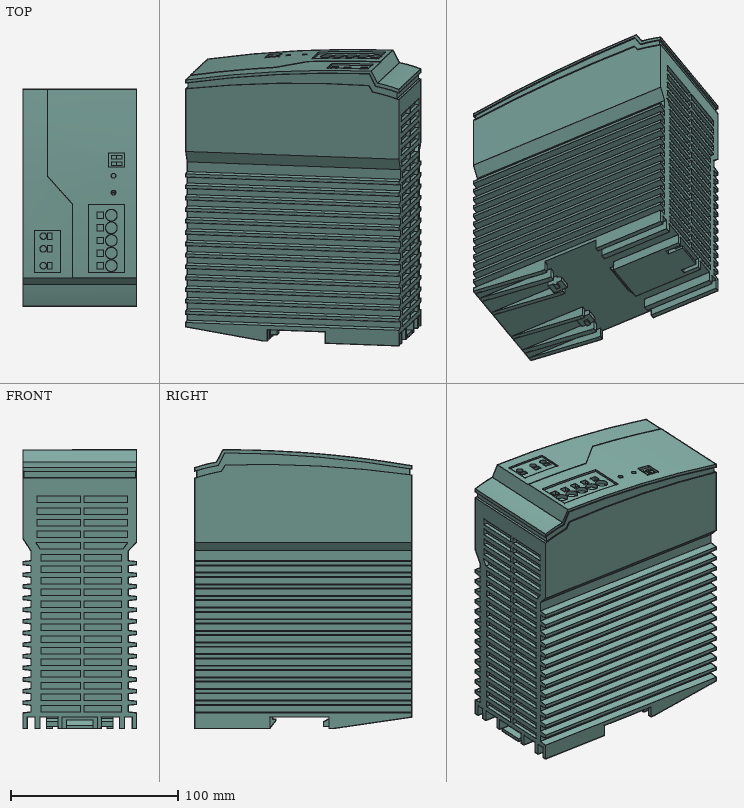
import cadquery as cq

WIDTH = 68.0
DEPTH = 130.0
HEIGHT = 167.0
SIDE = WIDTH / 2
REAR = DEPTH / 2
FRONT = -DEPTH / 2
FULL_X = (-SIDE, SIDE)

CORE_LEFT = -29.3
CORE_RIGHT = 29.1
CORE_TOP = 106.5
HEAD_BOTTOM_LEFT = 113.7
HEAD_BOTTOM_RIGHT = 111.5
FOOT_HEIGHT = 6.9

PITCH = 6.96
FIN_COUNT = 13
TOP_FIN_Z = 99.05
FIN_TIP_THICKNESS = 2.0
FIN_ROOT_THICKNESS = 3.1
BASE_PLATE_TOP = TOP_FIN_Z - FIN_COUNT * PITCH + FIN_TIP_THICKNESS / 2
BASE_PLATE_ROOT = BASE_PLATE_TOP + (FIN_ROOT_THICKNESS - FIN_TIP_THICKNESS) / 2

VENT_ROWS = 19
WIDE_VENT_ROWS = 4
TOP_VENT_Z = 137.2
VENT_HEIGHT = 3.9
VENT_DEPTH = 2.5
BAR_LEFT = 0.4
BAR_RIGHT = 2.6
WIDE_VENT_LEFT = -25.7
WIDE_VENT_RIGHT = 28.7
NARROW_VENT_LEFT = -23.1
NARROW_VENT_RIGHT = 24.9
ANGLED_VENT_LEFT_TOP = -26.2
ANGLED_VENT_LEFT_BOTTOM = -23.7
ANGLED_VENT_RIGHT_TOP = 28.7
ANGLED_VENT_RIGHT_BOTTOM = 25.8

CAP_TOP = (157.4, (-48.0, HEIGHT), (-52.0, 159.5), 156.2)
CAP_BOTTOM = (155.3, (-47.0, 165.0), (-50.8, 157.5), 154.0)
HOUSING_TOP = (151.8, (-46.6, 157.8), (-48.9, 154.0), 149.9)
CROWN_RADIUS = 660.0
FRONT_SLOPE_BULGE = 0.3
NECK_INSET_X = 0.65
NECK_INSET_Y = 1.2
NECK_BASE = 140.0

PANEL_STEP = 0.25
PANEL_EDGE_REAR_X = -19.3
PANEL_EDGE_FRONT_X = -4.2
PANEL_BEND_REAR_Y = 12.8
PANEL_BEND_FRONT_Y = -4.0

TERMINAL_FRONT_Y = -44.8
SUPPLY_X = (-27.0, -11.6)
SUPPLY_REAR_Y = -19.7
SUPPLY_RECESS_DEPTH = 1.0
SUPPLY_POLES_Y = (-23.0, -30.6, -40.7)
SUPPLY_SCREW_X = -21.8
SUPPLY_SCREW_DIAMETER = 3.9
SUPPLY_SLOT_X = (-19.3, -16.7)

OUTPUT_X = (5.3, 26.8)
OUTPUT_REAR_Y = -4.2
OUTPUT_RECESS_DEPTH = 1.2
OUTPUT_POLES = 5
OUTPUT_FIRST_Y = -10.5
OUTPUT_POLE_PITCH = 7.55
OUTPUT_SCREW_X = 18.9
OUTPUT_SCREW_DIAMETER = 7.0
OUTPUT_SLOT_X = (10.4, 14.2)

POLE_SLOT_LENGTH = 3.8
POLE_HOLE_DEPTH = 2.5
POLE_SLOT_DEPTH = 4.0

SWITCH_X = (17.3, 26.8)
SWITCH_Y = (18.4, 26.6)
SWITCH_DEPTH = 1.5
TOGGLE_SLOT_X = (19.1, 22.0)
TOGGLE_X = (22.0, 25.2)
TOGGLE_WIDTH = 2.2
TOGGLE_CENTRES_Y = (20.2, 24.1)
TOGGLE_RISE = 0.8
TOGGLE_SLOT_DEPTH = 1.0
SMALL_HOLE_X = 20.2
SMALL_HOLE_DIAMETER = 2.8
SMALL_HOLE_DEPTH = 1.5
INDICATOR_Y = 13.1
ADJUSTER_Y = 3.0
ADJUSTER_SLOT_LENGTH = 2.0
ADJUSTER_SLOT_WIDTH = 0.7
ADJUSTER_SLOT_DEPTH = 1.0

FEET_X = ((10.5, 13.0), (23.7, 26.9), (31.4, SIDE))
RAIL_FRONT = -20.0
RAIL_REAR = 15.3
FOOT_TAPER_Y = 17.6

REAR_HOOK_OUTER_X = 19.9
REAR_HOOK_BLOCK_X = 16.2
REAR_HOOK_TIP_Y = 12.1
REAR_HOOK_TOP_Z = 6.0
REAR_HOOK_TIP_Z = 4.2
REAR_HOOK_BOTTOM_Z = 1.3
REAR_HOOK_LENGTH = 6.0

LATCH_TIP_Y = -16.2
LATCH_ROOT_Y = -18.1
LATCH_TIP_TOP_Z = 5.7
LATCH_TIP_BOTTOM_Z = 5.1
LEVER_HALF_WIDTH = 7.9
LEVER_LEDGE_LENGTH = 5.0
LEVER_SLOPE_RUN = 5.0
LEVER_LIP_Z = 1.9
LEVER_TOP_Z = 5.1


def extrude_yz(points, x_start, x_end):
    """Prism along X with a straight-sided section given as (y, z) points."""
    section = cq.Workplane("YZ", origin=(x_start, 0, 0)).polyline(points).close()
    return section.extrude(x_end - x_start)


def extrude_xz(points, y_front, y_rear):
    """Prism along Y with a straight-sided section given as (x, z) points."""
    section = cq.Workplane("XZ", origin=(0, y_rear, 0)).polyline(points).close()
    return section.extrude(y_rear - y_front)


def box(x_range, y_range, z_range):
    """Box spanning the given ranges."""
    sizes = [high - low for low, high in (x_range, y_range, z_range)]
    corner = (x_range[0], y_range[0], z_range[0])
    return cq.Workplane("XY", origin=corner).box(*sizes, centered=False)


def crown_height(line, y):
    """Height of the crown: its chord plus the rise of a shallow arc above it."""
    rear_z, (break_y, break_z), _, _ = line
    fraction = (y - break_y) / (REAR - break_y)
    chord_z = break_z + (rear_z - break_z) * fraction
    return chord_z + (REAR - y) * (y - break_y) / (2 * CROWN_RADIUS)


def under_roof(line, floor_z, x_range):
    """Solid over the full depth between a floor height and a roof line."""
    rear_z, break_point, knee_point, front_z = line
    crown_y = (REAR + break_point[0]) / 2
    slope_y = (knee_point[0] + FRONT) / 2
    slope_z = (knee_point[1] + front_z) / 2 + FRONT_SLOPE_BULGE
    section = (
        cq.Workplane("YZ", origin=(x_range[0], 0, 0))
        .moveTo(FRONT, floor_z)
        .lineTo(REAR, floor_z)
        .lineTo(REAR, rear_z)
        .threePointArc((crown_y, crown_height(line, crown_y)), break_point)
        .lineTo(*knee_point)
        .threePointArc((slope_y, slope_z), (FRONT, front_z))
        .close()
    )
    return section.extrude(x_range[1] - x_range[0])


def lowered_roof(line, drop):
    """Roof line with its crown lowered, the break sliding along the riser."""
    rear_z, (break_y, break_z), knee_point, front_z = line
    riser_run = (knee_point[0] - break_y) / (knee_point[1] - break_z)
    new_break = (break_y - drop * riser_run, break_z - drop)
    return (rear_z - drop, new_break, knee_point, front_z)


LEFT_PANEL = lowered_roof(CAP_TOP, PANEL_STEP)


def housing():
    """Body with a wide head, a narrow core and a sloping transition."""
    section = [
        (-SIDE, FOOT_HEIGHT),
        (SIDE, FOOT_HEIGHT),
        (SIDE, BASE_PLATE_TOP),
        (CORE_RIGHT, BASE_PLATE_ROOT),
        (CORE_RIGHT, CORE_TOP),
        (SIDE, HEAD_BOTTOM_RIGHT),
        (SIDE, HEIGHT),
        (-SIDE, HEIGHT),
        (-SIDE, HEAD_BOTTOM_LEFT),
        (CORE_LEFT, CORE_TOP),
        (CORE_LEFT, BASE_PLATE_ROOT),
        (-SIDE, BASE_PLATE_TOP),
    ]
    body = extrude_xz(section, FRONT, REAR)
    return body.intersect(under_roof(HOUSING_TOP, 0, FULL_X))


def fins():
    """Tapered cooling fins along both sides of the core."""
    bars = cq.Workplane("XY")
    tip = FIN_TIP_THICKNESS / 2
    root = FIN_ROOT_THICKNESS / 2
    for index in range(FIN_COUNT):
        z = TOP_FIN_Z - index * PITCH
        section = [
            (-SIDE, z - tip),
            (CORE_LEFT, z - root),
            (CORE_RIGHT, z - root),
            (SIDE, z - tip),
            (SIDE, z + tip),
            (CORE_RIGHT, z + root),
            (CORE_LEFT, z + root),
            (-SIDE, z + tip),
        ]
        bars = bars.add(extrude_xz(section, FRONT, REAR))
    return bars.combine()


def vents():
    """Blind ventilation slots in the front, two per row beside a middle bar."""
    cutters = cq.Workplane("XY")
    for row in range(VENT_ROWS):
        top = TOP_VENT_Z - row * PITCH + VENT_HEIGHT / 2
        bottom = top - VENT_HEIGHT
        if row < WIDE_VENT_ROWS:
            left_top = left_bottom = WIDE_VENT_LEFT
            right_top = right_bottom = WIDE_VENT_RIGHT
        elif row == WIDE_VENT_ROWS:
            left_top, left_bottom = ANGLED_VENT_LEFT_TOP, ANGLED_VENT_LEFT_BOTTOM
            right_top, right_bottom = ANGLED_VENT_RIGHT_TOP, ANGLED_VENT_RIGHT_BOTTOM
        else:
            left_top = left_bottom = NARROW_VENT_LEFT
            right_top = right_bottom = NARROW_VENT_RIGHT
        left = [(left_bottom, bottom), (BAR_LEFT, bottom), (BAR_LEFT, top), (left_top, top)]
        right = [(BAR_RIGHT, bottom), (right_bottom, bottom), (right_top, top), (BAR_RIGHT, top)]
        for outline in (left, right):
            cutters = cutters.add(extrude_xz(outline, FRONT, FRONT + VENT_DEPTH))
    return cutters.combine()


def neck():
    """Inset band that leaves a shadow groove between housing and cap."""
    band = box(
        (-SIDE + NECK_INSET_X, SIDE - NECK_INSET_X),
        (FRONT + NECK_INSET_Y, REAR - NECK_INSET_Y),
        (NECK_BASE, HEIGHT),
    )
    return band.intersect(under_roof(CAP_BOTTOM, NECK_BASE, FULL_X))


def right_panel_region():
    """Full-height prism over the raised panel, bounded by the bent step."""
    outline = [
        (PANEL_EDGE_REAR_X, REAR),
        (PANEL_EDGE_REAR_X, PANEL_BEND_REAR_Y),
        (PANEL_EDGE_FRONT_X, PANEL_BEND_FRONT_Y),
        (PANEL_EDGE_FRONT_X, FRONT),
        (SIDE, FRONT),
        (SIDE, REAR),
    ]
    return cq.Workplane("XY").polyline(outline).close().extrude(HEIGHT)


def cap():
    """Crowned cover whose right panel stands proud of the left one."""
    low = under_roof(LEFT_PANEL, NECK_BASE, FULL_X)
    raised = under_roof(CAP_TOP, NECK_BASE, FULL_X).intersect(right_panel_region())
    below = under_roof(CAP_BOTTOM, NECK_BASE, FULL_X)
    return low.union(raised).cut(below)


def recess(roof, x_range, y_range, depth):
    """Rectangular recess cutter whose floor follows the roof at a depth."""
    column = box(x_range, y_range, (NECK_BASE, HEIGHT))
    return column.cut(under_roof(lowered_roof(roof, depth), NECK_BASE, x_range))


def round_hole(roof, x, y, diameter, depth):
    """Vertical round hole cutter, its depth measured below the roof."""
    floor_z = crown_height(roof, y) - depth
    return cq.Workplane("XY", origin=(x, y, floor_z)).circle(diameter / 2).extrude(HEIGHT - floor_z)


def terminal(roof, recess_depth, screw_x, screw_diameter, slot_x, poles_y):
    """Screw holes and wire slots of a terminal strip."""
    cutters = cq.Workplane("XY")
    half_slot = POLE_SLOT_LENGTH / 2
    for y in poles_y:
        hole_depth = recess_depth + POLE_HOLE_DEPTH
        slot_depth = recess_depth + POLE_SLOT_DEPTH
        cutters = cutters.add(round_hole(roof, screw_x, y, screw_diameter, hole_depth))
        cutters = cutters.add(recess(roof, slot_x, (y - half_slot, y + half_slot), slot_depth))
    return cutters.combine()


def supply_terminal():
    """Three-pole terminal in the left panel."""
    pocket = recess(LEFT_PANEL, SUPPLY_X, (TERMINAL_FRONT_Y, SUPPLY_REAR_Y), SUPPLY_RECESS_DEPTH)
    poles = terminal(
        LEFT_PANEL, SUPPLY_RECESS_DEPTH, SUPPLY_SCREW_X, SUPPLY_SCREW_DIAMETER,
        SUPPLY_SLOT_X, SUPPLY_POLES_Y,
    )
    return pocket.union(poles)


def output_terminal():
    """Five-pole terminal in the right panel."""
    poles_y = [OUTPUT_FIRST_Y - index * OUTPUT_POLE_PITCH for index in range(OUTPUT_POLES)]
    pocket = recess(CAP_TOP, OUTPUT_X, (TERMINAL_FRONT_Y, OUTPUT_REAR_Y), OUTPUT_RECESS_DEPTH)
    poles = terminal(
        CAP_TOP, OUTPUT_RECESS_DEPTH, OUTPUT_SCREW_X, OUTPUT_SCREW_DIAMETER,
        OUTPUT_SLOT_X, poles_y,
    )
    return pocket.union(poles)


def selector_switch():
    """Switch recess with two raised toggles, each beside a slot in the floor."""
    pocket = recess(CAP_TOP, SWITCH_X, SWITCH_Y, SWITCH_DEPTH)
    toggle_roof = lowered_roof(CAP_TOP, SWITCH_DEPTH - TOGGLE_RISE)
    for y in TOGGLE_CENTRES_Y:
        toggle_y = (y - TOGGLE_WIDTH / 2, y + TOGGLE_WIDTH / 2)
        column = box(TOGGLE_X, toggle_y, (NECK_BASE, HEIGHT))
        pocket = pocket.cut(column.intersect(under_roof(toggle_roof, NECK_BASE, TOGGLE_X)))
        slot_depth = SWITCH_DEPTH + TOGGLE_SLOT_DEPTH
        pocket = pocket.union(recess(CAP_TOP, TOGGLE_SLOT_X, toggle_y, slot_depth))
    return pocket


def indicator_and_adjuster():
    """Two small holes, the front one with a screwdriver slot in its floor."""
    cutters = round_hole(CAP_TOP, SMALL_HOLE_X, INDICATOR_Y, SMALL_HOLE_DIAMETER, SMALL_HOLE_DEPTH)
    cutters = cutters.union(
        round_hole(CAP_TOP, SMALL_HOLE_X, ADJUSTER_Y, SMALL_HOLE_DIAMETER, SMALL_HOLE_DEPTH)
    )
    slot_top = crown_height(CAP_TOP, ADJUSTER_Y) - SMALL_HOLE_DEPTH
    slot = (
        cq.Workplane("XY", origin=(SMALL_HOLE_X, ADJUSTER_Y, slot_top))
        .rect(ADJUSTER_SLOT_LENGTH, ADJUSTER_SLOT_WIDTH)
        .extrude(-ADJUSTER_SLOT_DEPTH)
    )
    return cutters.union(slot)


def foot(x_range):
    """One foot rib, interrupted for the rail and tapering up to the rear."""
    front_part = box(x_range, (FRONT, RAIL_FRONT), (0, FOOT_HEIGHT))
    rear_section = [
        (RAIL_REAR, FOOT_HEIGHT),
        (RAIL_REAR, 0),
        (FOOT_TAPER_Y, 0),
        (REAR, FOOT_HEIGHT),
    ]
    return front_part.union(extrude_yz(rear_section, *x_range))


def rear_hook():
    """Fixed hook that grips the rear flange of the rail."""
    hook_end = RAIL_REAR + REAR_HOOK_LENGTH
    hook_section = [
        (hook_end, REAR_HOOK_BOTTOM_Z),
        (REAR_HOOK_TIP_Y, REAR_HOOK_BOTTOM_Z),
        (REAR_HOOK_TIP_Y, REAR_HOOK_TIP_Z),
        (RAIL_REAR, REAR_HOOK_TOP_Z),
        (RAIL_REAR, FOOT_HEIGHT),
        (hook_end, FOOT_HEIGHT),
    ]
    hook = extrude_yz(hook_section, FEET_X[0][1], REAR_HOOK_OUTER_X)
    block = box(
        (REAR_HOOK_BLOCK_X, REAR_HOOK_OUTER_X), (RAIL_REAR, FOOT_TAPER_Y), (0, FOOT_HEIGHT)
    )
    return hook.union(block)


def latch():
    """Sliding latch with a hooked rear end and a ledge for pulling at the front."""
    ledge_end = FRONT + LEVER_LEDGE_LENGTH
    latch_front = ledge_end + LEVER_SLOPE_RUN
    inner_face = FEET_X[0][0]
    latch_section = [
        (latch_front, 0),
        (RAIL_FRONT, 0),
        (LATCH_TIP_Y, LATCH_TIP_BOTTOM_Z),
        (LATCH_TIP_Y, LATCH_TIP_TOP_Z),
        (LATCH_ROOT_Y, LATCH_TIP_TOP_Z),
        (LATCH_ROOT_Y, FOOT_HEIGHT),
        (latch_front, FOOT_HEIGHT),
    ]
    lever_section = [
        (FRONT, 0),
        (latch_front, 0),
        (latch_front, LEVER_TOP_Z),
        (ledge_end, LEVER_LIP_Z),
        (FRONT, LEVER_LIP_Z),
    ]
    bar = extrude_yz(latch_section, -inner_face, inner_face)
    return bar.union(extrude_yz(lever_section, -LEVER_HALF_WIDTH, LEVER_HALF_WIDTH))


def rail_mount():
    """All feet, both rear hooks and the latch."""
    half = rear_hook()
    for x_range in FEET_X:
        half = half.union(foot(x_range))
    return half.union(half.mirror("YZ")).union(latch())


result = housing().union(fins()).cut(vents())
result = result.union(neck()).union(cap())
for cutter in (supply_terminal(), output_terminal(), selector_switch(), indicator_and_adjuster()):
    result = result.cut(cutter)
result = result.union(rail_mount())